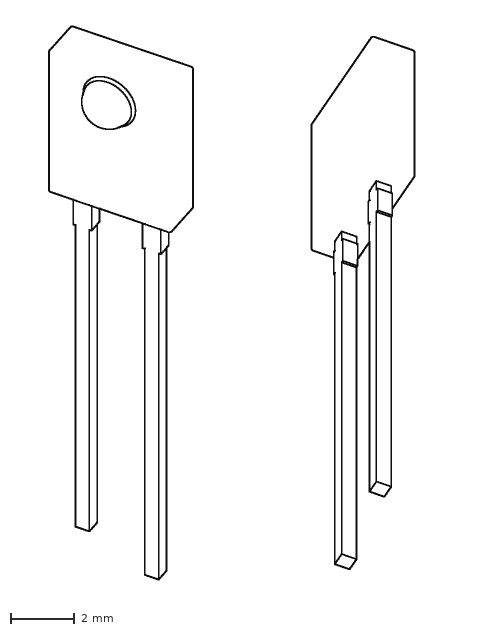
import cadquery as cq

TOTAL_HEIGHT = 20.22

BODY_WIDTH = 4.45
BODY_DEPTH = 1.54
BODY_HEIGHT = 5.7
EDGE_RADIUS = 0.09

LENS_PROJECTION = 0.87
LENS_BASE_RADIUS = 0.95
LENS_RIM_HEIGHT = 0.12
LENS_DOME_RADIUS = 0.87
LENS_DROP = 1.21

LEAD_PITCH = 2.5
LEAD_WIDTH = 0.5
LEAD_DEPTH = 0.53
LONG_LEAD_LENGTH = TOTAL_HEIGHT - BODY_HEIGHT
LEAD_LENGTH_DIFFERENCE = 1.0
SHORT_LEAD_LENGTH = LONG_LEAD_LENGTH - LEAD_LENGTH_DIFFERENCE
TAB_WIDTH = 0.67
TAB_DROP = 0.4
TAB_HEIGHT = 1.0


def make_lens():
    """Dome with a short conical rim, revolved about an axis that points to -Y."""
    front_y = -BODY_DEPTH / 2
    rim_y = front_y - LENS_RIM_HEIGHT
    tip_y = front_y - LENS_PROJECTION
    cap_height = LENS_PROJECTION - LENS_RIM_HEIGHT
    sphere_radius = (LENS_DOME_RADIUS**2 + cap_height**2) / (2 * cap_height)
    centre_y = tip_y + sphere_radius
    middle = (sphere_radius * 0.5**0.5, centre_y - sphere_radius * 0.5**0.5)
    return (
        cq.Workplane("XY")
        .lineTo(LENS_DOME_RADIUS, 0)
        .lineTo(LENS_BASE_RADIUS, front_y)
        .lineTo(LENS_DOME_RADIUS, rim_y)
        .threePointArc(middle, (0, tip_y))
        .close()
        .revolve(360, (0, 0, 0), (0, 1, 0))
        .translate((0, 0, BODY_HEIGHT - LENS_DROP))
    )


def make_body():
    """Block with rounded edges and the lens moulded onto its front face."""
    block = (
        cq.Workplane("XY")
        .box(BODY_WIDTH, BODY_DEPTH, BODY_HEIGHT, centered=(True, True, False))
        .edges()
        .fillet(EDGE_RADIUS)
    )
    return block.union(make_lens())


def hanging_bar(width, top_z, length):
    """Upright bar of the lead's depth that hangs down from top_z."""
    return (
        cq.Workplane("XY")
        .workplane(offset=top_z - length)
        .rect(width, LEAD_DEPTH)
        .extrude(length)
    )


def make_lead(x, length):
    """Straight lead with a wider tab near the body."""
    wire = hanging_bar(LEAD_WIDTH, 0, length)
    tab = hanging_bar(TAB_WIDTH, -TAB_DROP, TAB_HEIGHT)
    return wire.union(tab).translate((x, 0, 0))


body = make_body()
leads = [
    make_lead(side * LEAD_PITCH / 2, length)
    for side, length in ((-1, SHORT_LEAD_LENGTH), (1, LONG_LEAD_LENGTH))
]

result = cq.Compound.makeCompound([body.val(), *[lead.val() for lead in leads]])